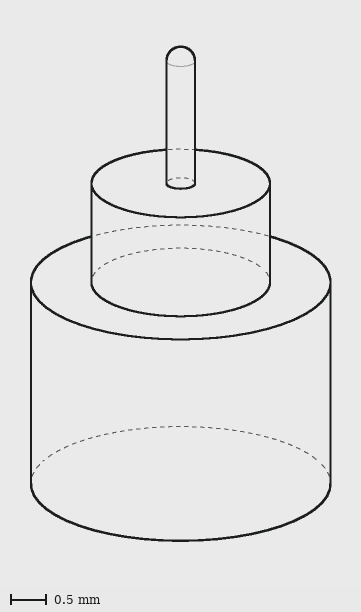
import cadquery as cq

total_height = 6.6

body_diameter = 4.2
body_height = 3.05

neck_diameter = 2.5
neck_height = 1.5

pin_diameter = 0.4
pin_radius = pin_diameter / 2
pin_base = body_height + neck_height
pin_height = total_height - pin_base


def cylinder(diameter, height, base):
    """Upright cylinder on the Z axis, standing at the given base level."""
    return cq.Workplane("XY").workplane(offset=base).circle(diameter / 2).extrude(height)


def round_tipped_pin():
    """Straight shank closed by a hemisphere of the same radius."""
    shank_height = pin_height - pin_radius
    shank = cylinder(pin_diameter, shank_height, pin_base)
    tip = cq.Workplane("XY").sphere(pin_radius).translate((0, 0, pin_base + shank_height))
    return shank.union(tip)


body = cylinder(body_diameter, body_height, 0)
neck = cylinder(neck_diameter, neck_height, body_height)

result = body.union(neck).union(round_tipped_pin())